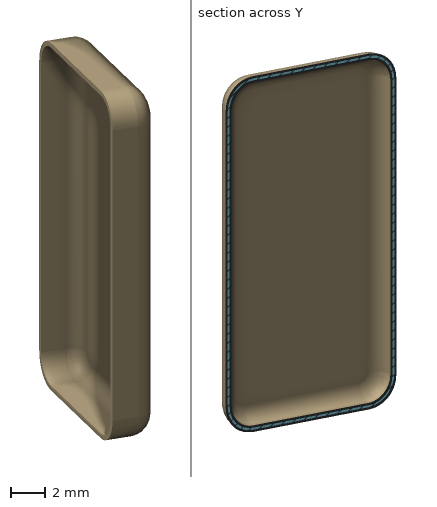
import cadquery as cq

width = 11.3
depth = 2.8
height = 22.0

wall = 0.3
corner_radius = 1.8
back_edge_radius = 1.2


def rounded_block(inset, front_y, back_y):
    """Block inset from the outer sides, with rounded corners and a rounded back edge."""
    return (
        cq.Workplane("XZ", origin=(0, back_y, 0))
        .rect(width - 2 * inset, height - 2 * inset)
        .extrude(back_y - front_y)
        .edges("|Y")
        .fillet(corner_radius - inset)
        .faces(">Y")
        .edges()
        .fillet(back_edge_radius - inset)
    )


shell = rounded_block(0, 0, depth)
cavity = rounded_block(wall, 0, depth - wall)

result = shell.cut(cavity)